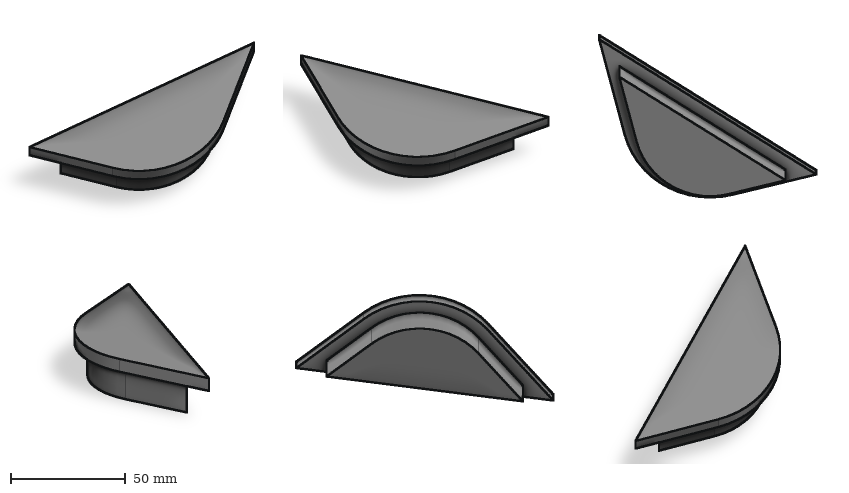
import cadquery as cq

plate_width = 76.4
plate_length = 83.4
total_height = 21.0
plate_thickness = 6.0
corner_radius = 38.5
plug_inset = 5.5

plug_height = total_height - plate_thickness


plate = (
    cq.Workplane("XY")
    .workplane(offset=plug_height)
    .polyline([(0, 0), (plate_width, 0), (plate_width, plate_length)])
    .close()
    .extrude(plate_thickness)
    .edges("|Z")
    .edges(cq.selectors.NearestToPointSelector((plate_width, 0, plug_height)))
    .fillet(corner_radius)
)

plate_outline = plate.faces("<Z").val().outerWire()
plug_outline = plate_outline.offset2D(-plug_inset)[0]
plug = cq.Workplane(cq.Solid.extrudeLinear(plug_outline, [], cq.Vector(0, 0, -plug_height)))

result = plate.union(plug)